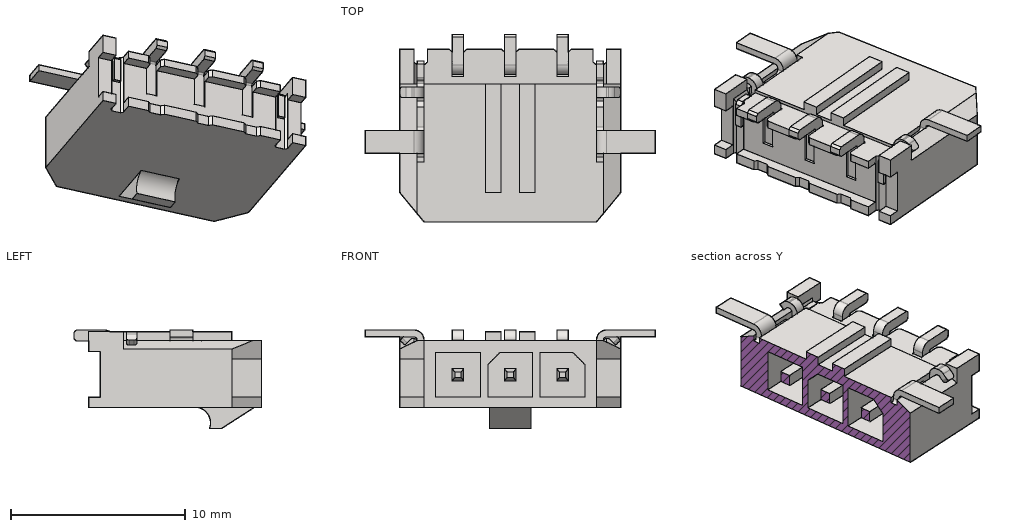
import cadquery as cq
import math

BODY_HALF_WIDTH = 6.345
BODY_DEPTH = 9.93
BODY_HEIGHT = 3.86
FACE_HALF_WIDTH = 4.935
CORNER_DEPTH = 1.70
BEVEL_START_X = 5.335
BEVEL_DROP = 0.50
WALL = 0.60
CORNER_RECESS_TOP = 2.80

LEDGE_START_Y = 7.92
LEDGE_Z = 3.67
POST_TOP = 4.36
POST_INNER_X = 5.52
REAR_WALL_Y = 9.27
REAR_LIP_BOTTOM = 3.21

PITCH = 3.0
PIN_XS = [-PITCH, 0.0, PITCH]
CAVITY_SIZE = 2.57
CAVITY_DEPTH = 7.5
CAVITY_KEY = 0.70
PIN_WIDTH = 0.66
PIN_HEIGHT = 0.70
PIN_Z = WALL + CAVITY_SIZE / 2
PIN_START_Y = 2.0
PIN_TIP_WIDTH = 0.36
PIN_TIP_HEIGHT = 0.31
PIN_TIP_LENGTH = 0.5

TAIL_TOP = 4.46
TAIL_THICKNESS = 0.65
TAIL_END_Y = 10.77
TAIL_END_CHAMFER = 0.14
TAIL_BEND_Y = 9.02
TAIL_BEND_RADIUS = 0.56
LEG_FRONT_Y = TAIL_BEND_Y - TAIL_BEND_RADIUS
LEG_BACK_Y = LEG_FRONT_Y + TAIL_THICKNESS
TAIL_INNER_RADIUS = 0.1
PIN_SLOT_START_Y = 8.36
NOTCH_DEPTH = 0.16
NOTCH_HALF_WIDTH = 0.51

RIB_WIDTH = 0.91
RIB_CENTER_X = 0.975
LATCH_WIDTH = 2.39
LATCH_DROP = 1.21
LATCH_FRONT_Y = 0.43
LATCH_NOSE_FRONT_Y = 2.31
LATCH_NOSE_BACK_Y = 3.00
LATCH_BACK_Y = 3.60
LATCH_ARC_Y = 3.10
LATCH_ARC_Z = -0.36

CLIP_THICKNESS = BEVEL_START_X - FACE_HALF_WIDTH
CLIP_START_Y = 3.46
CLIP_END_Y = 9.26
CLIP_END_CHAMFER = 0.2
CLIP_BOTTOM = 2.0
CLIP_FRONT_TOP = 3.5
CLIP_MIDDLE_TOP = 3.58
CLIP_MIDDLE_END_Y = 6.60
CLIP_REAR_TOP = LEDGE_Z - 0.06
CLIP_REAR_STEP_Y = 8.31
CLIP_BEND_RADIUS = 0.60
SLOT_FLOOR_Z = BODY_HEIGHT - 1.2
SLOT_LEAD_IN_DEPTH = 0.4
GAP_INNER_X = 4.75
GAP_FRONT_Y = 9.19
GAP_LEAD_IN = 0.12
FOOT_TIP_X = 8.325
FOOT_START_Y = 3.95
FOOT_END_Y = 5.26
HOOK_TOP = 4.36
HOOK_START_Y = 7.15
HOOK_END_Y = 7.76
HOOK_FLAT_END_X = 5.63
HOOK_CURL_RADIUS = 0.50
HOOK_TIP_LENGTH = 0.49
HOOK_TIP_FILLET = 0.18
NECK_FILLET = 0.20
CLIP_STEP_RADIUS = (CLIP_REAR_STEP_Y - HOOK_END_Y - NECK_FILLET) / 2
CLIP_DIP_TOP = CLIP_REAR_TOP - 2 * CLIP_STEP_RADIUS


def box(x0, x1, y0, y1, z0, z1):
    """Axis-aligned block between the given limits."""
    return cq.Workplane("XY").box(x1 - x0, y1 - y0, z1 - z0, centered=False).translate((x0, y0, z0))


def both_sides(shape):
    """The shape together with its mirror image across x = 0."""
    return shape.union(shape.mirror("YZ"))


def extrude_along_y(profile_xz, y0, y1):
    """Extrude a profile drawn on an XZ workplane from y0 to y1."""
    return profile_xz.extrude(-(y1 - y0)).translate((0, y0, 0))


def housing():
    """Outer block with beveled edges, rear ledge, corner posts and front corner recesses."""
    plan = [
        (-FACE_HALF_WIDTH, 0),
        (FACE_HALF_WIDTH, 0),
        (BODY_HALF_WIDTH, CORNER_DEPTH),
        (BODY_HALF_WIDTH, BODY_DEPTH),
        (-BODY_HALF_WIDTH, BODY_DEPTH),
        (-BODY_HALF_WIDTH, CORNER_DEPTH),
    ]
    body = cq.Workplane("XY").polyline(plan).close().extrude(BODY_HEIGHT)

    bevel = cq.Workplane("XZ").polyline([
        (BEVEL_START_X, BODY_HEIGHT),
        (BODY_HALF_WIDTH, BODY_HEIGHT - BEVEL_DROP),
        (BODY_HALF_WIDTH, BODY_HEIGHT),
    ]).close()
    body = body.cut(both_sides(extrude_along_y(bevel, 0, LEDGE_START_Y)))

    left_x, right_x = -BODY_HALF_WIDTH, BODY_HALF_WIDTH
    body = body.cut(box(left_x, right_x, LEDGE_START_Y, BODY_DEPTH, LEDGE_Z, BODY_HEIGHT))
    posts = box(POST_INNER_X, BODY_HALF_WIDTH, LEDGE_START_Y, BODY_DEPTH, REAR_LIP_BOTTOM, POST_TOP)
    body = body.union(both_sides(posts))

    body = body.cut(box(left_x, right_x, REAR_WALL_Y, BODY_DEPTH, WALL, REAR_LIP_BOTTOM))
    recess = box(FACE_HALF_WIDTH, BODY_HALF_WIDTH, 0, CORNER_DEPTH, WALL, CORNER_RECESS_TOP)
    return body.cut(both_sides(recess))


def cavity(x):
    """Square contact cavity open at the mating face."""
    half = CAVITY_SIZE / 2
    return box(x - half, x + half, 0, CAVITY_DEPTH, WALL, WALL + CAVITY_SIZE)


def keyed_cavities():
    """The three cavities, with a keyed corner on the middle and right ones."""
    left, middle, right = [cavity(x) for x in PIN_XS]
    middle = middle.edges("|Y and >Z and <X").chamfer(CAVITY_KEY)
    right = right.edges("|Y and >Z and >X").chamfer(CAVITY_KEY)
    return left.union(middle).union(right)


def rear_notch(x):
    """Flared notch in the rear edge behind a pin leg."""
    half = PIN_WIDTH / 2
    return cq.Workplane("XY").polyline([
        (x - NOTCH_HALF_WIDTH, BODY_DEPTH),
        (x - half, BODY_DEPTH - NOTCH_DEPTH),
        (x + half, BODY_DEPTH - NOTCH_DEPTH),
        (x + NOTCH_HALF_WIDTH, BODY_DEPTH),
    ]).close().extrude(BODY_HEIGHT)


def pin_slot(x):
    """Slot through the rear of the housing that takes a pin leg."""
    half = PIN_WIDTH / 2
    return box(x - half, x + half, PIN_SLOT_START_Y, BODY_DEPTH, PIN_Z - PIN_HEIGHT / 2, LEDGE_Z)


def clip_gap():
    """Opening in the rear edge that narrows to the clip slot."""
    lead_y = GAP_FRONT_Y - GAP_LEAD_IN
    return cq.Workplane("XY").polyline([
        (GAP_INNER_X, BODY_DEPTH),
        (GAP_INNER_X, GAP_FRONT_Y),
        (GAP_INNER_X + GAP_LEAD_IN, lead_y),
        (POST_INNER_X - GAP_LEAD_IN, lead_y),
        (POST_INNER_X, GAP_FRONT_Y),
        (POST_INNER_X, BODY_DEPTH),
    ]).close().extrude(BODY_HEIGHT)


def clip_slot():
    """Slot for the clip plate, with a sloping lead-in along the foot of the post."""
    slot = box(FACE_HALF_WIDTH, BEVEL_START_X, CLIP_START_Y, BODY_DEPTH, SLOT_FLOOR_Z, BODY_HEIGHT)
    lead_in = cq.Workplane("XZ").polyline([
        (BEVEL_START_X, LEDGE_Z),
        (POST_INNER_X, LEDGE_Z),
        (BEVEL_START_X, LEDGE_Z - SLOT_LEAD_IN_DEPTH),
    ]).close()
    return slot.union(extrude_along_y(lead_in, LEDGE_START_Y, BODY_DEPTH))


def ribs():
    """Two ribs running lengthwise on the top."""
    inner_x = RIB_CENTER_X - RIB_WIDTH / 2
    return both_sides(box(inner_x, inner_x + RIB_WIDTH, CORNER_DEPTH, LEDGE_START_Y, LEDGE_Z, POST_TOP))


def latch():
    """Latching ramp below the housing, undercut by an arc at its back."""
    profile = (
        cq.Workplane("YZ")
        .moveTo(LATCH_FRONT_Y, 0)
        .lineTo(LATCH_NOSE_FRONT_Y, -LATCH_DROP)
        .lineTo(LATCH_NOSE_BACK_Y, -LATCH_DROP)
        .threePointArc((LATCH_ARC_Y, LATCH_ARC_Z), (LATCH_BACK_Y, 0))
        .close()
    )
    return profile.extrude(LATCH_WIDTH / 2, both=True)


def pin_blade(x):
    """Straight contact running from its tapered tip back to the leg."""
    tip_end_y = PIN_START_Y + PIN_TIP_LENGTH
    half = PIN_WIDTH / 2
    shank = box(x - half, x + half, tip_end_y, LEG_BACK_Y, PIN_Z - PIN_HEIGHT / 2, PIN_Z + PIN_HEIGHT / 2)
    tip = (
        cq.Workplane("XZ", origin=(x, PIN_START_Y, PIN_Z))
        .rect(PIN_TIP_WIDTH, PIN_TIP_HEIGHT)
        .workplane(offset=-PIN_TIP_LENGTH)
        .rect(PIN_WIDTH, PIN_HEIGHT)
        .loft()
    )
    return shank.union(tip)


def pin_tail(x):
    """Leg rising from the blade and bent rearward into a solder tail."""
    tail_bottom = TAIL_TOP - TAIL_THICKNESS
    profile = (
        cq.Workplane("YZ")
        .moveTo(LEG_FRONT_Y, PIN_Z)
        .lineTo(LEG_FRONT_Y, TAIL_TOP - TAIL_BEND_RADIUS)
        .radiusArc((TAIL_BEND_Y, TAIL_TOP), TAIL_BEND_RADIUS)
        .lineTo(TAIL_END_Y - TAIL_END_CHAMFER, TAIL_TOP)
        .lineTo(TAIL_END_Y, TAIL_TOP - TAIL_END_CHAMFER)
        .lineTo(TAIL_END_Y, tail_bottom + TAIL_END_CHAMFER)
        .lineTo(TAIL_END_Y - TAIL_END_CHAMFER, tail_bottom)
        .lineTo(LEG_BACK_Y + TAIL_INNER_RADIUS, tail_bottom)
        .radiusArc((LEG_BACK_Y, tail_bottom - TAIL_INNER_RADIUS), -TAIL_INNER_RADIUS)
        .lineTo(LEG_BACK_Y, PIN_Z)
        .close()
    )
    return profile.extrude(PIN_WIDTH / 2, both=True).translate((x, 0, 0))


def bent_strip(top_z, end_x, y0, y1):
    """Strip rising from the slot, bent outward by 90 degrees and running flat to end_x."""
    center_x = FACE_HALF_WIDTH + CLIP_BEND_RADIUS
    center_z = top_z - CLIP_BEND_RADIUS
    profile = (
        cq.Workplane("XZ")
        .moveTo(FACE_HALF_WIDTH, CLIP_BOTTOM)
        .lineTo(FACE_HALF_WIDTH, center_z)
        .radiusArc((center_x, top_z), CLIP_BEND_RADIUS)
        .lineTo(end_x, top_z)
        .lineTo(end_x, top_z - CLIP_THICKNESS)
        .lineTo(center_x, top_z - CLIP_THICKNESS)
        .radiusArc((BEVEL_START_X, center_z), CLIP_THICKNESS - CLIP_BEND_RADIUS)
        .lineTo(BEVEL_START_X, CLIP_BOTTOM)
        .close()
    )
    return extrude_along_y(profile, y0, y1)


def hook_tip():
    """End of the hook, curling 45 degrees downward past its flat top."""
    center_z = HOOK_TOP - HOOK_CURL_RADIUS
    inner_radius = HOOK_CURL_RADIUS - CLIP_THICKNESS
    slant = math.sqrt(0.5)

    def on_slant(radius, run):
        return HOOK_FLAT_END_X + slant * (radius + run), center_z + slant * (radius - run)

    profile = (
        cq.Workplane("XZ")
        .moveTo(HOOK_FLAT_END_X, HOOK_TOP)
        .radiusArc(on_slant(HOOK_CURL_RADIUS, 0), HOOK_CURL_RADIUS)
        .lineTo(*on_slant(HOOK_CURL_RADIUS, HOOK_TIP_LENGTH))
        .lineTo(*on_slant(inner_radius, HOOK_TIP_LENGTH))
        .lineTo(*on_slant(inner_radius, 0))
        .radiusArc((HOOK_FLAT_END_X, center_z + inner_radius), -inner_radius)
        .close()
    )
    tip = extrude_along_y(profile, HOOK_START_Y, HOOK_END_Y)
    end_corners = tip.edges(cq.selectors.ParallelDirSelector(cq.Vector(1, 0, 1)))
    return end_corners.fillet(HOOK_TIP_FILLET)


def neck_flare(front_z, back_z, y0, y1):
    """Concave widening at the base of a strip, from the plate edges at front_z and back_z."""
    r = NECK_FILLET
    profile = (
        cq.Workplane("YZ", origin=(FACE_HALF_WIDTH, 0, 0))
        .moveTo(y0 - r, front_z)
        .radiusArc((y0, front_z + r), -r)
        .lineTo(y1, back_z + r)
        .radiusArc((y1 + r, back_z), -r)
        .close()
    )
    return profile.extrude(CLIP_THICKNESS)


def clip_plate():
    """Upright plate standing in the slot, dipping on both sides of the hook."""
    step_start_y = HOOK_END_Y + NECK_FILLET
    step_middle = ((step_start_y + CLIP_REAR_STEP_Y) / 2, CLIP_REAR_TOP - CLIP_STEP_RADIUS)
    profile = (
        cq.Workplane("YZ", origin=(FACE_HALF_WIDTH, 0, 0))
        .moveTo(CLIP_START_Y, CLIP_BOTTOM)
        .lineTo(CLIP_START_Y, CLIP_FRONT_TOP)
        .lineTo(FOOT_START_Y, CLIP_FRONT_TOP)
        .lineTo(FOOT_END_Y, CLIP_MIDDLE_TOP)
        .lineTo(CLIP_MIDDLE_END_Y, CLIP_MIDDLE_TOP)
        .lineTo(HOOK_START_Y - NECK_FILLET, CLIP_DIP_TOP)
        .lineTo(step_start_y, CLIP_DIP_TOP)
        .radiusArc(step_middle, -CLIP_STEP_RADIUS)
        .radiusArc((CLIP_REAR_STEP_Y, CLIP_REAR_TOP), CLIP_STEP_RADIUS)
        .lineTo(CLIP_END_Y - CLIP_END_CHAMFER, CLIP_REAR_TOP)
        .lineTo(CLIP_END_Y, CLIP_REAR_TOP - CLIP_END_CHAMFER)
        .lineTo(CLIP_END_Y, CLIP_BOTTOM)
        .close()
    )
    return profile.extrude(CLIP_THICKNESS)


def solder_clip():
    """Plate with its outward solder foot and the retaining hook behind it."""
    foot = bent_strip(TAIL_TOP, FOOT_TIP_X, FOOT_START_Y, FOOT_END_Y)
    foot = foot.union(neck_flare(CLIP_FRONT_TOP, CLIP_MIDDLE_TOP, FOOT_START_Y, FOOT_END_Y))
    hook = bent_strip(HOOK_TOP, HOOK_FLAT_END_X, HOOK_START_Y, HOOK_END_Y).union(hook_tip())
    hook = hook.union(neck_flare(CLIP_DIP_TOP, CLIP_DIP_TOP, HOOK_START_Y, HOOK_END_Y))
    return clip_plate().union(foot).union(hook)


result = housing().cut(keyed_cavities())
result = result.cut(both_sides(clip_gap())).cut(both_sides(clip_slot()))
for pin_x in PIN_XS:
    result = result.cut(rear_notch(pin_x)).cut(pin_slot(pin_x))
    result = result.union(pin_blade(pin_x)).union(pin_tail(pin_x))
result = result.union(ribs()).union(latch()).union(both_sides(solder_clip()))